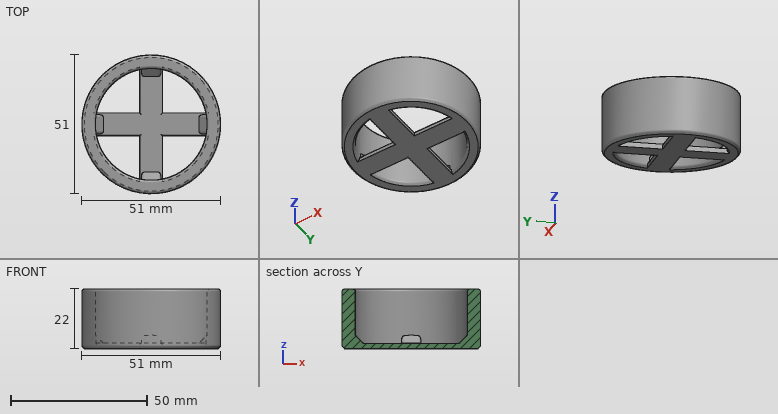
import cadquery as cq
import math

outer_radius = 25.5
bore_radius = 20.5
height = 22.0
edge_round = 1.0
base_bevel = 0.9

spoke_width = 8.4
spoke_thickness = 2.05
spoke_edge = 0.65

ramp_foot_radius = 17.55
ramp_width = spoke_width - 2 * spoke_edge
ramp_edge_round = 1.0
ramp_count = 4

wall_middle_radius = (outer_radius + bore_radius) / 2


def make_ring():
    """Revolve the wall; each lower bevel runs tangentially into its side of the wall."""
    bevel_angle = math.radians(45)
    bend_inset = edge_round * (1 - math.cos(bevel_angle))
    bend_rise = edge_round * math.sin(bevel_angle)
    bevel_top = base_bevel - bend_inset
    bend_top = bevel_top + bend_rise
    middle_inset = edge_round * (1 - math.cos(bevel_angle / 2))
    middle_z = bend_top - edge_round * math.sin(bevel_angle / 2)
    profile = (
        cq.Workplane("XZ")
        .moveTo(bore_radius + base_bevel, 0)
        .lineTo(outer_radius - base_bevel, 0)
        .lineTo(outer_radius - bend_inset, bevel_top)
        .threePointArc((outer_radius - middle_inset, middle_z), (outer_radius, bend_top))
        .lineTo(outer_radius, height)
        .lineTo(bore_radius, height)
        .lineTo(bore_radius, bend_top)
        .threePointArc((bore_radius + middle_inset, middle_z), (bore_radius + bend_inset, bevel_top))
        .close()
    )
    ring = profile.revolve(360, (0, 0, 0), (0, 1, 0))
    return ring.faces(">Z").edges().fillet(edge_round)


def make_cross():
    """Cross two spokes and round their upper long edges."""
    length = 2 * wall_middle_radius
    centering = (True, True, False)
    cross = cq.Workplane("XY").box(length, spoke_width, spoke_thickness, centered=centering)
    cross = cross.union(cq.Workplane("XY").box(spoke_width, length, spoke_thickness, centered=centering))
    long_edges = cq.selectors.BoxSelector(
        (-bore_radius, -bore_radius, 0),
        (bore_radius, bore_radius, height),
    )
    return cross.faces(">Z").edges(long_edges).fillet(spoke_edge)


def make_ramp():
    """Make one 45 degree ramp rising outward along +X into the wall."""
    run = wall_middle_radius - ramp_foot_radius
    ramp = (
        cq.Workplane("XZ")
        .moveTo(ramp_foot_radius, spoke_thickness)
        .lineTo(wall_middle_radius, spoke_thickness + run)
        .lineTo(wall_middle_radius, spoke_thickness)
        .close()
        .extrude(ramp_width / 2, both=True)
    )
    slope = ramp.faces("<(1, 0, -1)")
    return slope.edges("not |Y").fillet(ramp_edge_round)



result = make_ring().union(make_cross())
for index in range(ramp_count):
    angle = index * 360 / ramp_count
    result = result.union(make_ramp().rotate((0, 0, 0), (0, 0, 1), angle))